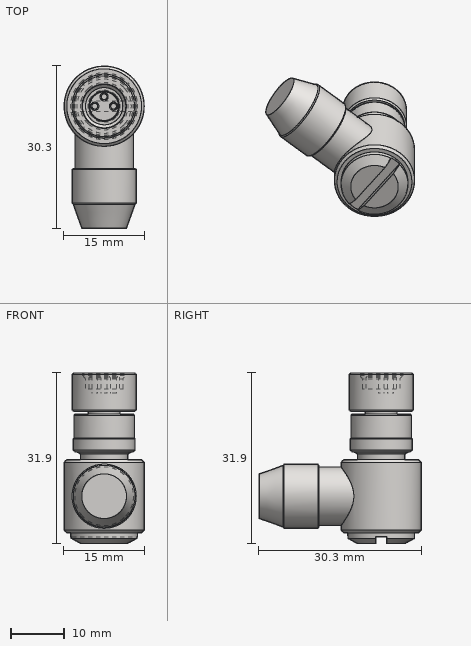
import cadquery as cq
import math

TOTAL_HEIGHT = 31.9
PLUG_CONE_TOP = 1.0
BODY_BOTTOM = 2.0
BODY_TOP = 15.7
NECK_TOP = 16.7
RING_BOTTOM = 17.1
RING_TOP = 19.5
SLEEVE_BOTTOM = 19.68
SLEEVE_TOP = 24.18
NUT_BOTTOM = 24.65

PLUG_TIP_RADIUS = 4.45
PLUG_RADIUS = 6.25
BODY_RADIUS = 7.5
NECK_RADIUS = 4.45
NECK_CONE_RADIUS = 5.07
RING_RADIUS = 5.8
SLEEVE_RADIUS = 5.68
STEM_RADIUS = 3.0
NUT_RADIUS = 6.0

BODY_CHAMFER = 0.5
RING_CHAMFER = 0.38
SLEEVE_CHAMFER = 0.22
NUT_CHAMFER = 0.32

SLOT_WIDTH = 2.0
SLOT_DEPTH = 1.25

ARM_HEIGHT = (BODY_BOTTOM + BODY_TOP) / 2
ARM_RADIUS = 5.5
COLLAR_START = 11.6
COLLAR_END = 18.35
COLLAR_RADIUS = 6.0
COLLAR_CHAMFER = 0.22
ARM_END = 22.8
ARM_TIP_RADIUS = 4.18

SOCKET_RADIUS = 4.05
SOCKET_BORE_DEPTH = 0.55
SOCKET_CHAMFER = 0.1
GROOVE_RADIUS = 3.48
FUNNEL_DEPTH = 1.12
GROOVE_DEPTH = 3.0
INSERT_RADIUS = 2.85
INSERT_CHAMFER = 0.15
INSERT_RECESS = 0.73

CONTACT_OFFSET = 1.75
CONTACT_ANGLES = (0, 90, 180)
CONTACT_RADIUS = 0.55
CONTACT_MOUTH_RADIUS = 0.75
CONTACT_DEPTH = 3.0


def revolve_profile(points):
    """Revolve a closed (radius, height) outline about the Z axis."""
    return cq.Workplane("XZ").polyline(points).close().revolve(360, (0, 0, 0), (0, 1, 0))


def make_stack():
    """Plug, body, neck, ring, sleeve, stem and nut as one turned shape."""
    return revolve_profile([
        (0, 0),
        (PLUG_TIP_RADIUS, 0),
        (PLUG_RADIUS, PLUG_CONE_TOP),
        (PLUG_RADIUS, BODY_BOTTOM),
        (BODY_RADIUS - BODY_CHAMFER, BODY_BOTTOM),
        (BODY_RADIUS, BODY_BOTTOM + BODY_CHAMFER),
        (BODY_RADIUS, BODY_TOP - BODY_CHAMFER),
        (BODY_RADIUS - BODY_CHAMFER, BODY_TOP),
        (NECK_RADIUS, BODY_TOP),
        (NECK_RADIUS, NECK_TOP),
        (NECK_CONE_RADIUS, RING_BOTTOM),
        (RING_RADIUS - RING_CHAMFER, RING_BOTTOM),
        (RING_RADIUS, RING_BOTTOM + RING_CHAMFER),
        (RING_RADIUS, RING_TOP),
        (SLEEVE_RADIUS, SLEEVE_BOTTOM),
        (SLEEVE_RADIUS, SLEEVE_TOP - SLEEVE_CHAMFER),
        (SLEEVE_RADIUS - SLEEVE_CHAMFER, SLEEVE_TOP),
        (STEM_RADIUS, SLEEVE_TOP),
        (STEM_RADIUS, NUT_BOTTOM),
        (NUT_RADIUS - NUT_CHAMFER, NUT_BOTTOM),
        (NUT_RADIUS, NUT_BOTTOM + NUT_CHAMFER),
        (NUT_RADIUS, TOTAL_HEIGHT - NUT_CHAMFER),
        (NUT_RADIUS - NUT_CHAMFER, TOTAL_HEIGHT),
        (0, TOTAL_HEIGHT),
    ])


def make_arm():
    """Cable arm with collar and tapered tip, pointing along -Y."""
    arm = revolve_profile([
        (0, 0),
        (ARM_RADIUS, 0),
        (ARM_RADIUS, COLLAR_START),
        (COLLAR_RADIUS - COLLAR_CHAMFER, COLLAR_START),
        (COLLAR_RADIUS, COLLAR_START + COLLAR_CHAMFER),
        (COLLAR_RADIUS, COLLAR_END - COLLAR_CHAMFER),
        (COLLAR_RADIUS - COLLAR_CHAMFER, COLLAR_END),
        (ARM_TIP_RADIUS, ARM_END),
        (0, ARM_END),
    ])
    return arm.rotate((0, 0, 0), (1, 0, 0), 90).translate((0, 0, ARM_HEIGHT))


def make_socket():
    """Space around the contact insert: bevelled bore, funnel and ring groove."""
    insert_top = TOTAL_HEIGHT - INSERT_RECESS
    groove_floor = TOTAL_HEIGHT - GROOVE_DEPTH
    return revolve_profile([
        (0, TOTAL_HEIGHT),
        (SOCKET_RADIUS + SOCKET_CHAMFER, TOTAL_HEIGHT),
        (SOCKET_RADIUS, TOTAL_HEIGHT - SOCKET_CHAMFER),
        (SOCKET_RADIUS, TOTAL_HEIGHT - SOCKET_BORE_DEPTH),
        (GROOVE_RADIUS, TOTAL_HEIGHT - FUNNEL_DEPTH),
        (GROOVE_RADIUS, groove_floor),
        (INSERT_RADIUS, groove_floor),
        (INSERT_RADIUS, insert_top - INSERT_CHAMFER),
        (INSERT_RADIUS - INSERT_CHAMFER, insert_top),
        (0, insert_top),
    ])


def make_contact_hole(angle):
    """One countersunk blind hole, placed at an angle around the insert."""
    insert_top = TOTAL_HEIGHT - INSERT_RECESS
    hole = revolve_profile([
        (0, insert_top),
        (CONTACT_MOUTH_RADIUS, insert_top),
        (CONTACT_RADIUS, insert_top - (CONTACT_MOUTH_RADIUS - CONTACT_RADIUS)),
        (CONTACT_RADIUS, insert_top - CONTACT_DEPTH),
        (0, insert_top - CONTACT_DEPTH),
    ])
    x = CONTACT_OFFSET * math.cos(math.radians(angle))
    y = CONTACT_OFFSET * math.sin(math.radians(angle))
    return hole.translate((x, y, 0))


def make_slot():
    """Straight screwdriver slot running along X through the plug."""
    return cq.Workplane("XY").box(2 * PLUG_RADIUS, SLOT_WIDTH, SLOT_DEPTH, centered=(True, True, False))


result = make_stack().union(make_arm()).cut(make_slot()).cut(make_socket())
for contact_angle in CONTACT_ANGLES:
    result = result.cut(make_contact_hole(contact_angle))